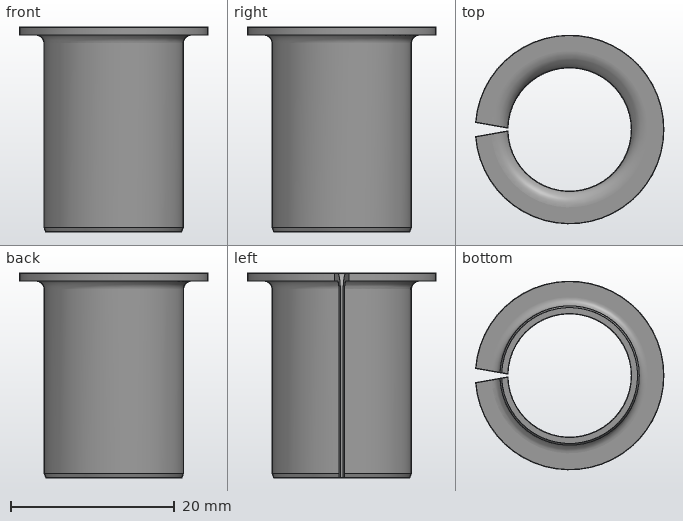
import cadquery as cq
import math

height = 25.0
body_radius = 8.5
wall = 0.98
flange_radius = 11.5
outer_bend_radius = 1.02
chamfer_height = 0.58
chamfer_angle = 20.0
slit_half_angle = 10.0
slit_half_width_at_bore = 0.18

bore_radius = body_radius - wall
inner_bend_radius = outer_bend_radius + wall
bend_center_r = body_radius + outer_bend_radius
bend_center_z = height - inner_bend_radius
chamfer_width = chamfer_height * math.tan(math.radians(chamfer_angle))


def bend_point(radius):
    """Middle of a bend arc, as (distance from the axis, z)."""
    offset = radius * math.sqrt(0.5)
    return bend_center_r - offset, bend_center_z + offset


def flanged_sleeve():
    """Sleeve with a curved transition to its top flange, revolved about Z."""
    return (
        cq.Workplane("XZ")
        .moveTo(bore_radius, 0)
        .lineTo(body_radius - chamfer_width, 0)
        .lineTo(body_radius, chamfer_height)
        .lineTo(body_radius, bend_center_z)
        .threePointArc(bend_point(outer_bend_radius), (bend_center_r, height - wall))
        .lineTo(flange_radius, height - wall)
        .lineTo(flange_radius, height)
        .lineTo(bend_center_r, height)
        .threePointArc(bend_point(inner_bend_radius), (bore_radius, bend_center_z))
        .close()
        .revolve(360, (0, 0), (0, 1))
        .rotate((0, 0, 0), (0, 0, 1), 180)
    )


def slit_wedge():
    """Full-height wedge that opens the -X side and widens outward."""
    slope = math.tan(math.radians(slit_half_angle))
    apex_x = -bore_radius + slit_half_width_at_bore / slope
    outer_x = -flange_radius - wall
    outer_half_width = (apex_x - outer_x) * slope
    return (
        cq.Workplane("XY")
        .moveTo(apex_x, 0)
        .lineTo(outer_x, outer_half_width)
        .lineTo(outer_x, -outer_half_width)
        .close()
        .extrude(height)
    )


result = flanged_sleeve().cut(slit_wedge())